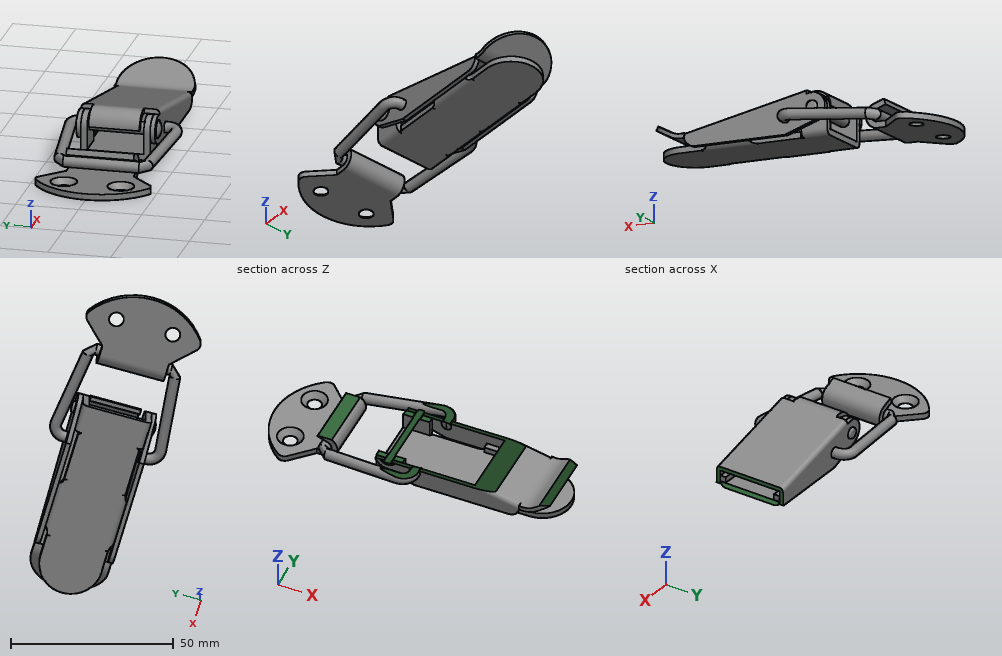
import cadquery as cq
import math

TOTAL_LENGTH = 102.42
TOTAL_HEIGHT = 14.79
TOTAL_WIDTH = 37.02

PLATE_THICKNESS = 2.0
CATCH_ARC_RADIUS = 22.0
CATCH_NECK_X = 19.1
CATCH_NECK_HALF_WIDTH = 10.7
CATCH_FLANK_ANGLE = 45.0
CATCH_CORNER_RADIUS = 2.5
SCREW_HOLE_DIAMETER = 4.5
COUNTERSINK_DIAMETER = 8.3
COUNTERSINK_ANGLE = 90.0
SCREW_HOLE_X = 9.35
SCREW_HOLE_SPACING = 18.1
HOOK_INNER_RADIUS = 2.0
HOOK_CENTRE_X = 22.05
HOOK_LIP_ANGLE = 20.0
HOOK_LIP_LENGTH = 3.75

WIRE_DIAMETER = 3.5
BAIL_TILT = 4.5
BAIL_CROSSBAR_X = 21.95
BAIL_CROSSBAR_HALF_LENGTH = 12.05
BAIL_CORNER_GAP = 0.1
BAIL_ARM_ANGLE = 6.3
BAIL_BEND_RADIUS = 3.5
BAIL_END_REACH = 31.2

EAR_FRONT_X = 39.3
EAR_RADIUS = 4.5
PIN_DIAMETER = 3.8
PIN_HEAD_DIAMETER = 5.76
PIN_HEAD_HEIGHT = 1.0
PIN_TAIL_LENGTH = 0.8
PIN_TAIL_ROUNDING = 0.65

LEVER_HALF_WIDTH = 12.5
LEVER_THICKNESS = 1.5
LEVER_SLOPE = 12.0
LEVER_PLATE_START_X = 46.1
LEVER_PLATE_END_X = 88.2
LEVER_BOTTOM_Z = 1.0
LEVER_FRONT_SLOPE = 19.0
LEVER_REAR_RADIUS = 3.5
CURL_RADIUS = 5.3
CURL_Y_MIN = -7.6
CURL_Y_MAX = 8.5
TONGUE_HALF_WIDTH = 12.3
TONGUE_ANGLE = 28.0
TONGUE_BEND_RADIUS = 6.2

BASE_END_X = 100.4
BASE_HALF_WIDTH = 11.0
BASE_STRIP_HALF_WIDTH = 9.8
BASE_STRIP_CHAMFER_LENGTH = 0.7
BASE_BEND_RADIUS = 2.0
TAB_CENTRE_X = 73.85
TAB_LENGTH = 14.1
TAB_HEIGHT = 4.0
TAB_ROOT_RADIUS = 2.5

slope = math.radians(LEVER_SLOPE)
LEVER_INNER_HALF_WIDTH = LEVER_HALF_WIDTH - LEVER_THICKNESS
EAR_END_X = EAR_FRONT_X + 2 * EAR_RADIUS
TAB_ROOT_LENGTH = TAB_LENGTH + 2 * TAB_ROOT_RADIUS
HOOK_CENTRE_Z = PLATE_THICKNESS + HOOK_INNER_RADIUS
CURL_CENTRE_X = EAR_FRONT_X + CURL_RADIUS
CURL_CENTRE_Z = TOTAL_HEIGHT - CURL_RADIUS


def lever_top_z(x):
    """Height of the sloping top face, which is tangent to the front curl."""
    return CURL_CENTRE_Z + CURL_RADIUS / math.cos(slope) - (x - CURL_CENTRE_X) * math.tan(slope)


PIN_X = EAR_FRONT_X + EAR_RADIUS
PIN_Z = lever_top_z(PIN_X) - (EAR_RADIUS + LEVER_THICKNESS) / math.cos(slope)


def polar(centre_x, centre_y, radius, degrees):
    """Point at a distance and angle from a centre in any sketch plane."""
    angle = math.radians(degrees)
    return centre_x + radius * math.cos(angle), centre_y + radius * math.sin(angle)


def side_extrude(sketch, y_min, y_max):
    """Extrude an XZ outline between two Y positions."""
    return sketch.extrude(y_max - y_min).translate((0, y_max, 0))


def cross_cylinder(x, z, diameter, y_min, y_max):
    circle = cq.Workplane("XZ").center(x, z).circle(diameter / 2)
    return side_extrude(circle, y_min, y_max)


def make_catch():
    flank = math.radians(CATCH_FLANK_ANGLE)
    neck_offset = CATCH_NECK_X - CATCH_ARC_RADIUS
    along_flank = CATCH_NECK_HALF_WIDTH * math.sin(flank) - neck_offset * math.cos(flank)
    neck_inside_arc = CATCH_ARC_RADIUS ** 2 - neck_offset ** 2 - CATCH_NECK_HALF_WIDTH ** 2
    flank_length = math.sqrt(along_flank ** 2 + neck_inside_arc) - along_flank
    corner_x = CATCH_NECK_X - flank_length * math.cos(flank)
    corner_y = CATCH_NECK_HALF_WIDTH + flank_length * math.sin(flank)
    plate = (
        cq.Workplane("XY")
        .moveTo(CATCH_NECK_X, -CATCH_NECK_HALF_WIDTH)
        .lineTo(corner_x, -corner_y)
        .threePointArc((0, 0), (corner_x, corner_y))
        .lineTo(CATCH_NECK_X, CATCH_NECK_HALF_WIDTH)
        .close()
        .extrude(PLATE_THICKNESS)
    )
    for side in (-1, 1):
        corner = cq.NearestToPointSelector((corner_x, side * corner_y, PLATE_THICKNESS / 2))
        plate = plate.edges("|Z").edges(corner).fillet(CATCH_CORNER_RADIUS)

    plate = plate.union(make_hook())
    return (
        plate.copyWorkplane(cq.Workplane("XY", origin=(0, 0, PLATE_THICKNESS)))
        .pushPoints([(SCREW_HOLE_X, s * SCREW_HOLE_SPACING / 2) for s in (-1, 1)])
        .cskHole(SCREW_HOLE_DIAMETER, COUNTERSINK_DIAMETER, COUNTERSINK_ANGLE)
    )


def make_hook():
    outer = HOOK_INNER_RADIUS + PLATE_THICKNESS
    lip_normal = 90 - HOOK_LIP_ANGLE
    lip_direction = 180 - HOOK_LIP_ANGLE
    centre = (HOOK_CENTRE_X, HOOK_CENTRE_Z)
    outer_end = polar(*centre, outer, lip_normal)
    inner_end = polar(*centre, HOOK_INNER_RADIUS, lip_normal)
    outline = (
        cq.Workplane("XZ")
        .moveTo(CATCH_NECK_X, 0)
        .lineTo(HOOK_CENTRE_X, 0)
        .threePointArc((HOOK_CENTRE_X + outer, HOOK_CENTRE_Z), outer_end)
        .lineTo(*polar(*outer_end, HOOK_LIP_LENGTH, lip_direction))
        .lineTo(*polar(*inner_end, HOOK_LIP_LENGTH, lip_direction))
        .lineTo(*inner_end)
        .threePointArc((HOOK_CENTRE_X + HOOK_INNER_RADIUS, HOOK_CENTRE_Z), (HOOK_CENTRE_X, PLATE_THICKNESS))
        .lineTo(CATCH_NECK_X, PLATE_THICKNESS)
        .close()
    )
    return side_extrude(outline, -CATCH_NECK_HALF_WIDTH, CATCH_NECK_HALF_WIDTH)


def make_bail():
    """The bail is laid out flat with its crossbar on the Y axis, then tilted up."""
    radius = WIRE_DIAMETER / 2
    bend_x = BAIL_END_REACH - BAIL_BEND_RADIUS
    bend_y = TOTAL_WIDTH / 2 - radius - BAIL_BEND_RADIUS
    arm = math.radians(BAIL_ARM_ANGLE)
    bend_start = polar(bend_x, bend_y, BAIL_BEND_RADIUS, 90 + BAIL_ARM_ANGLE)
    bend_middle = polar(bend_x, bend_y, BAIL_BEND_RADIUS, 45)
    arm_start_x = radius + BAIL_CORNER_GAP
    arm_start_y = bend_start[1] - (bend_start[0] - arm_start_x) * math.tan(arm)

    bail = (
        cq.Workplane("XZ", origin=(0, BAIL_CROSSBAR_HALF_LENGTH, 0))
        .circle(radius)
        .extrude(2 * BAIL_CROSSBAR_HALF_LENGTH)
    )
    path = (
        cq.Workplane("XY")
        .moveTo(arm_start_x, arm_start_y)
        .lineTo(*bend_start)
        .threePointArc(bend_middle, (BAIL_END_REACH, bend_y))
        .lineTo(BAIL_END_REACH, LEVER_INNER_HALF_WIDTH)
    )
    arm_wire = cq.Workplane("YZ", origin=(arm_start_x, arm_start_y, 0)).circle(radius).sweep(path)
    crossbar_end = cq.Wire.makeCircle(
        radius, cq.Vector(0, BAIL_CROSSBAR_HALF_LENGTH, 0), cq.Vector(0, 1, 0))
    arm_end = cq.Wire.makeCircle(
        radius, cq.Vector(arm_start_x, arm_start_y, 0), cq.Vector(1, 0, 0))
    corner = cq.Workplane(cq.Solid.makeLoft([crossbar_end, arm_end], True))
    half = arm_wire.union(corner)
    bail = bail.union(half).union(half.mirror("XZ"))
    return bail.rotate((0, 0, 0), (0, 1, 0), -BAIL_TILT).translate((BAIL_CROSSBAR_X, 0, HOOK_CENTRE_Z))


def lever_side_outline():
    """Side of the folded lever with the full-height plate and round front ears."""
    front = math.radians(LEVER_FRONT_SLOPE)
    ear_top = polar(PIN_X, PIN_Z, EAR_RADIUS, 90 - LEVER_SLOPE)
    ear_bottom = polar(PIN_X, PIN_Z, EAR_RADIUS, 270 - LEVER_FRONT_SLOPE)
    bottom_start_x = ear_bottom[0] + (ear_bottom[1] - LEVER_BOTTOM_Z) / math.tan(front)
    start_top = (LEVER_PLATE_START_X, lever_top_z(LEVER_PLATE_START_X))
    start_under = polar(*start_top, LEVER_THICKNESS, 270 - LEVER_SLOPE)
    rear_z = LEVER_BOTTOM_Z + LEVER_REAR_RADIUS
    rear_centre_x = LEVER_PLATE_END_X - LEVER_REAR_RADIUS
    return (
        cq.Workplane("XZ")
        .moveTo(*ear_bottom)
        .threePointArc((PIN_X - EAR_RADIUS, PIN_Z), ear_top)
        .lineTo(*start_under)
        .lineTo(*start_top)
        .lineTo(LEVER_PLATE_END_X, lever_top_z(LEVER_PLATE_END_X))
        .lineTo(LEVER_PLATE_END_X, rear_z)
        .threePointArc(polar(rear_centre_x, rear_z, LEVER_REAR_RADIUS, -45), (rear_centre_x, LEVER_BOTTOM_Z))
        .lineTo(bottom_start_x, LEVER_BOTTOM_Z)
        .close()
    )


def lever_interior():
    """Space between the side walls, below the underside of the sloping plate."""
    drop = LEVER_THICKNESS / math.cos(slope)
    x_min = EAR_FRONT_X - EAR_RADIUS
    x_max = LEVER_PLATE_END_X + EAR_RADIUS
    outline = (
        cq.Workplane("XZ")
        .moveTo(x_min, 0)
        .lineTo(x_max, 0)
        .lineTo(x_max, lever_top_z(x_max) - drop)
        .lineTo(x_min, lever_top_z(x_min) - drop)
        .close()
    )
    return side_extrude(outline, -LEVER_INNER_HALF_WIDTH, LEVER_INNER_HALF_WIDTH)


def lever_curl():
    """Plate strip that runs forward and rolls down in front of the pin."""
    inner = CURL_RADIUS - LEVER_THICKNESS
    centre = (CURL_CENTRE_X, CURL_CENTRE_Z)
    tangent = 90 - LEVER_SLOPE
    middle = (tangent + 180) / 2
    overlap_x = LEVER_PLATE_START_X + LEVER_THICKNESS
    top = (overlap_x, lever_top_z(overlap_x))
    outline = (
        cq.Workplane("XZ")
        .moveTo(*top)
        .lineTo(*polar(*centre, CURL_RADIUS, tangent))
        .threePointArc(polar(*centre, CURL_RADIUS, middle), polar(*centre, CURL_RADIUS, 180))
        .lineTo(*polar(*centre, inner, 180))
        .threePointArc(polar(*centre, inner, middle), polar(*centre, inner, tangent))
        .lineTo(*polar(*top, LEVER_THICKNESS, 270 - LEVER_SLOPE))
        .close()
    )
    return side_extrude(outline, CURL_Y_MIN, CURL_Y_MAX)


def lever_tongue():
    """Upturned round finger tongue behind the plate."""
    start = (LEVER_PLATE_END_X, lever_top_z(LEVER_PLATE_END_X))
    centre = polar(*start, TONGUE_BEND_RADIUS, 90 - LEVER_SLOPE)
    under_radius = TONGUE_BEND_RADIUS + LEVER_THICKNESS
    angles = (270 - LEVER_SLOPE, 270, 270 + TONGUE_ANGLE)
    top = [polar(*centre, TONGUE_BEND_RADIUS, a) for a in angles]
    under = [polar(*centre, under_radius, a) for a in angles]
    bend = (
        cq.Workplane("XZ")
        .moveTo(*top[0])
        .threePointArc(top[1], top[2])
        .lineTo(*under[2])
        .threePointArc(under[1], under[0])
        .close()
    )
    bend = side_extrude(bend, -TONGUE_HALF_WIDTH, TONGUE_HALF_WIDTH)

    rise = math.radians(TONGUE_ANGLE)
    length = (TOTAL_LENGTH - under[2][0]) / math.cos(rise)
    blade_plane = cq.Plane(
        origin=(under[2][0], 0, under[2][1]),
        xDir=(math.cos(rise), 0, math.sin(rise)),
        normal=(-math.sin(rise), 0, math.cos(rise)),
    )
    blade = (
        cq.Workplane(blade_plane)
        .moveTo(0, -TONGUE_HALF_WIDTH)
        .threePointArc((length, 0), (0, TONGUE_HALF_WIDTH))
        .close()
        .extrude(LEVER_THICKNESS)
    )
    return bend.union(blade)


def make_lever(bail):
    lever = side_extrude(lever_side_outline(), -LEVER_HALF_WIDTH, LEVER_HALF_WIDTH)
    middle_x = (LEVER_PLATE_START_X + LEVER_PLATE_END_X) / 2
    for side in (-1, 1):
        top_edge = cq.NearestToPointSelector((middle_x, side * LEVER_HALF_WIDTH, lever_top_z(middle_x)))
        lever = lever.edges(top_edge).fillet(LEVER_THICKNESS)
    lever = lever.cut(lever_interior()).union(lever_curl()).union(lever_tongue())
    pin_hole = cross_cylinder(PIN_X, PIN_Z, PIN_DIAMETER, -LEVER_HALF_WIDTH, LEVER_HALF_WIDTH)
    return lever.cut(pin_hole).cut(bail)


def base_channel(x_min, x_max, height):
    """Sheet bent up along both sides."""
    length = x_max - x_min
    block = (
        cq.Workplane("XY")
        .box(length, 2 * BASE_HALF_WIDTH, height, centered=(False, True, False))
        .edges("|X and <Z").fillet(BASE_BEND_RADIUS)
    )
    inside = (
        cq.Workplane("XY", origin=(0, 0, PLATE_THICKNESS))
        .box(length, 2 * (BASE_HALF_WIDTH - PLATE_THICKNESS), height, centered=(False, True, False))
    )
    return block.cut(inside).translate((x_min, 0, 0))


def make_ears():
    """Front channel whose sides end in half-round ears about the pin."""
    side_outline = (
        cq.Workplane("XZ")
        .moveTo(EAR_FRONT_X, 0)
        .lineTo(EAR_FRONT_X, PIN_Z)
        .threePointArc((PIN_X, PIN_Z + EAR_RADIUS), (EAR_END_X, PIN_Z))
        .lineTo(EAR_END_X, 0)
        .close()
    )
    channel = base_channel(EAR_FRONT_X, EAR_END_X, PIN_Z + EAR_RADIUS)
    ears = channel.intersect(side_extrude(side_outline, -BASE_HALF_WIDTH, BASE_HALF_WIDTH))
    return ears.cut(cross_cylinder(PIN_X, PIN_Z, PIN_DIAMETER, -BASE_HALF_WIDTH, BASE_HALF_WIDTH))


def make_strip():
    """Flat plate with chamfered front corners and a semicircular tail, open where the tabs join."""
    tail_x = BASE_END_X - BASE_STRIP_HALF_WIDTH
    chamfer_end_x = EAR_END_X + BASE_STRIP_CHAMFER_LENGTH
    front_half_width = BASE_HALF_WIDTH - BASE_BEND_RADIUS
    strip = (
        cq.Workplane("XY")
        .moveTo(EAR_END_X, -front_half_width)
        .lineTo(chamfer_end_x, -BASE_STRIP_HALF_WIDTH)
        .lineTo(tail_x, -BASE_STRIP_HALF_WIDTH)
        .threePointArc((BASE_END_X, 0), (tail_x, BASE_STRIP_HALF_WIDTH))
        .lineTo(chamfer_end_x, BASE_STRIP_HALF_WIDTH)
        .lineTo(EAR_END_X, front_half_width)
        .close()
        .extrude(PLATE_THICKNESS)
    )
    tab_space = (
        cq.Workplane("XY")
        .center(TAB_CENTRE_X, 0)
        .rect(TAB_ROOT_LENGTH, 2 * BASE_HALF_WIDTH)
        .extrude(PLATE_THICKNESS)
    )
    return strip.cut(tab_space)


def make_tabs():
    """Pair of side tabs bent up from the plate, with concave root corners."""
    tabs = base_channel(TAB_CENTRE_X - TAB_LENGTH / 2, TAB_CENTRE_X + TAB_LENGTH / 2, TAB_HEIGHT)
    roots = base_channel(
        TAB_CENTRE_X - TAB_ROOT_LENGTH / 2, TAB_CENTRE_X + TAB_ROOT_LENGTH / 2, TAB_HEIGHT)
    space_above = (
        cq.Workplane("XY", origin=(TAB_CENTRE_X, 0, PLATE_THICKNESS))
        .rect(TAB_ROOT_LENGTH, 2 * BASE_HALF_WIDTH)
        .extrude(TAB_HEIGHT)
    )
    corners = (
        cq.Workplane("XY")
        .center(TAB_CENTRE_X, 0)
        .rect(TAB_ROOT_LENGTH, 2 * (BASE_STRIP_HALF_WIDTH + TAB_ROOT_RADIUS), forConstruction=True)
        .vertices()
        .circle(TAB_ROOT_RADIUS)
        .extrude(PLATE_THICKNESS)
    )
    return tabs.union(roots.cut(space_above).cut(corners))


def make_base():
    return make_ears().union(make_strip()).union(make_tabs())


def make_pin():
    """Shaft with a domed head on -Y and a rounded tail on +Y."""
    shaft = cross_cylinder(PIN_X, PIN_Z, PIN_DIAMETER, -LEVER_HALF_WIDTH, LEVER_HALF_WIDTH + PIN_TAIL_LENGTH)
    shaft = shaft.faces(">Y").edges().fillet(PIN_TAIL_ROUNDING)
    head_radius = PIN_HEAD_DIAMETER / 2
    dome_radius = (head_radius ** 2 + PIN_HEAD_HEIGHT ** 2) / (2 * PIN_HEAD_HEIGHT)
    dome_centre_y = dome_radius - PIN_HEAD_HEIGHT - LEVER_HALF_WIDTH
    dome = cq.Workplane("XY").sphere(dome_radius).translate((PIN_X, dome_centre_y, PIN_Z))
    head_space = cross_cylinder(
        PIN_X, PIN_Z, 2 * dome_radius, -LEVER_HALF_WIDTH - 2 * PIN_HEAD_HEIGHT, -LEVER_HALF_WIDTH)
    return shaft.union(dome.intersect(head_space))


catch = make_catch()
bail = make_bail()
lever = make_lever(bail)
base = make_base()
pin = make_pin()

bodies = [catch, bail, lever, base, pin]
result = cq.Compound.makeCompound([solid for body in bodies for solid in body.solids().vals()])